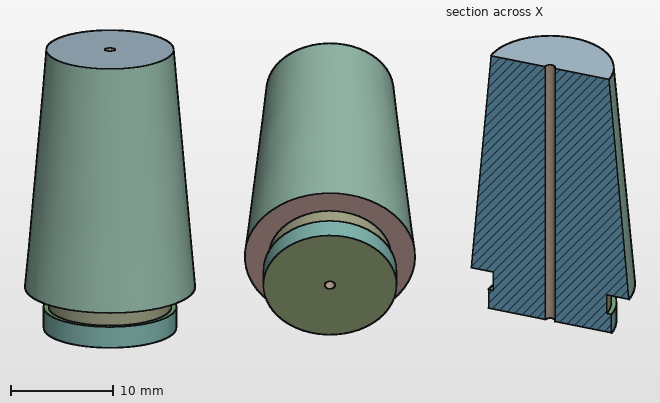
import cadquery as cq

total_height = 28.5
body_base_diameter = 16.65
body_top_diameter = 12.45

flange_diameter = 13.0
flange_height = 2.15
neck_diameter = 12.0
neck_height = 2.02

bore_diameter = 1.0

body_base_z = flange_height + neck_height


def make_spigot():
    """Flange with a narrower neck that carries the body."""
    flange = cq.Workplane("XY").circle(flange_diameter / 2).extrude(flange_height)
    return flange.faces(">Z").workplane().circle(neck_diameter / 2).extrude(neck_height)


def make_body():
    """Solid of revolution that tapers from its base to its flat top."""
    return (
        cq.Workplane("XZ")
        .moveTo(0, body_base_z)
        .lineTo(body_base_diameter / 2, body_base_z)
        .lineTo(body_top_diameter / 2, total_height)
        .lineTo(0, total_height)
        .close()
        .revolve(360, (0, 0, 0), (0, 1, 0))
    )


bore = cq.Workplane("XY").circle(bore_diameter / 2).extrude(total_height)
result = make_spigot().union(make_body()).cut(bore)